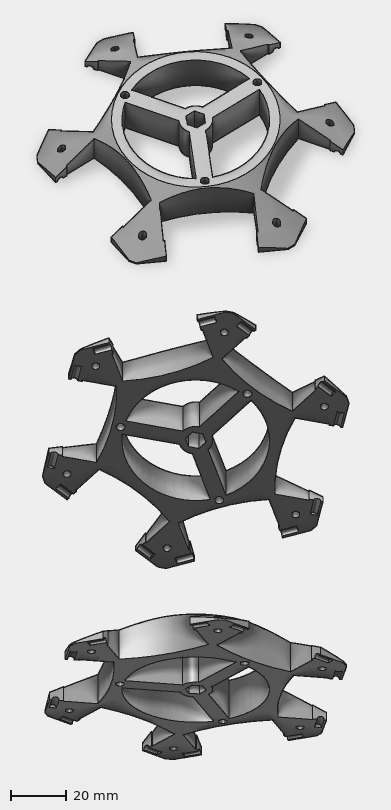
import cadquery as cq
import math

tip_radius = 57.9
width_across_flats = 101.8
height = 15.5
rim_height = 0.7
ring_outer_radius = 30.6
arm_count = 6

opening_half_width = 17.3
mouth_half_width = 16.8
mouth_start = 45.8
waist_distance = 31.0
corner_distance = 33.1

pin_radius = 1.3
pin_distance = 48.8
pin_half_span = 23.2

ring_inner_radius = 26.8
hub_radius = 6.1
hub_hex_flats = 6.6
spoke_width = 6.0
spoke_angles = (90, 210, 330)
ring_hole_radius = 27.9
ring_hole_diameter = 3.1
arm_hole_radius = 49.0
arm_hole_diameter = 2.9

past_edge = 5.8


def corner_diameter(across_flats):
    """Corner-to-corner size of a hexagon with the given width across flats."""
    return across_flats / math.cos(math.pi / 6)


def make_blank():
    """Cone with a low rim and a flat top, trimmed to a hexagon with corners on X."""
    cone = (
        cq.Workplane("XZ")
        .polyline([
            (0, 0),
            (tip_radius, 0),
            (tip_radius, rim_height),
            (ring_outer_radius, height),
            (0, height),
        ])
        .close()
        .revolve(360, (0, 0), (0, 1))
    )
    hexagon = cq.Workplane("XY").polygon(arm_count, corner_diameter(width_across_flats)).extrude(height)
    return cone.intersect(hexagon)


def make_opening_cutter():
    """Opening along +Y with a curved back wall, stepped sides and a pin bore into each side."""
    outer_end = width_across_flats / 2 + past_edge
    opening = (
        cq.Workplane("XY")
        .moveTo(-opening_half_width, corner_distance)
        .threePointArc((0, waist_distance), (opening_half_width, corner_distance))
        .lineTo(opening_half_width, mouth_start)
        .lineTo(mouth_half_width, mouth_start)
        .lineTo(mouth_half_width, outer_end)
        .lineTo(-mouth_half_width, outer_end)
        .lineTo(-mouth_half_width, mouth_start)
        .lineTo(-opening_half_width, mouth_start)
        .close()
        .extrude(height)
    )
    pin_bores = (
        cq.Workplane("YZ")
        .center(pin_distance, 0)
        .circle(pin_radius)
        .extrude(pin_half_span, both=True)
    )
    return opening.union(pin_bores)


def make_spider():
    """Hub with spokes that reach into the ring."""
    spider = cq.Workplane("XY").circle(hub_radius).extrude(height)
    spoke_length = (ring_inner_radius + ring_outer_radius) / 2
    spoke = cq.Workplane("XY").box(spoke_length, spoke_width, height, centered=(False, True, False))
    for angle in spoke_angles:
        spider = spider.union(spoke.rotate((0, 0, 0), (0, 0, 1), angle))
    return spider


def make_holes(radius, diameter, start_angle, count):
    """Round through-hole cutters spaced evenly on a circle."""
    return (
        cq.Workplane("XY")
        .polarArray(radius, start_angle, 360, count)
        .circle(diameter / 2)
        .extrude(height)
    )


result = make_blank()

opening_cutter = make_opening_cutter()
for index in range(arm_count):
    angle = index * 360 / arm_count
    result = result.cut(opening_cutter.rotate((0, 0, 0), (0, 0, 1), angle))

ring_bore = cq.Workplane("XY").circle(ring_inner_radius).extrude(height)
result = result.cut(ring_bore).union(make_spider())

hub_socket = (
    cq.Workplane("XY")
    .polygon(6, corner_diameter(hub_hex_flats))
    .extrude(height)
    .rotate((0, 0, 0), (0, 0, 1), 90)
)
result = result.cut(hub_socket)

result = result.cut(make_holes(ring_hole_radius, ring_hole_diameter, spoke_angles[0], len(spoke_angles)))
result = result.cut(make_holes(arm_hole_radius, arm_hole_diameter, 0, arm_count))